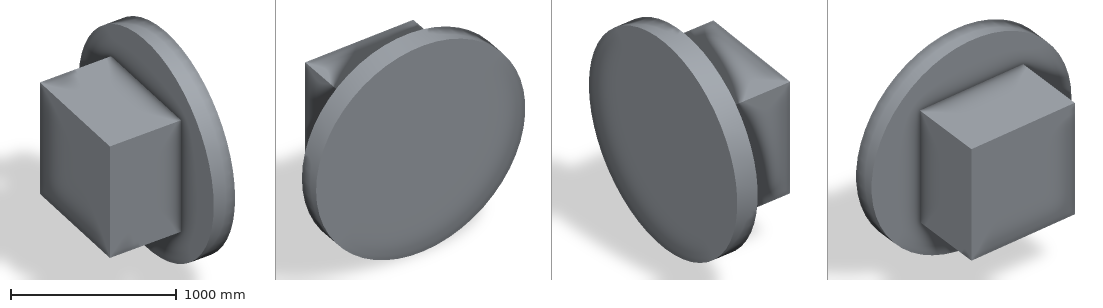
import cadquery as cq

plate_diameter = 1524.0
plate_thickness = 152.4
block_width = 787.4
block_height = 825.5
block_depth = 508.0


def make_plate():
    """Disc whose front face lies at Y = 0 and which extends toward +Y."""
    return cq.Workplane("XZ").circle(plate_diameter / 2).extrude(-plate_thickness)


def make_block():
    """Block centred on the disc, extending from its front face toward -Y."""
    return cq.Workplane("XZ").rect(block_width, block_height).extrude(block_depth)


result = make_plate().union(make_block())